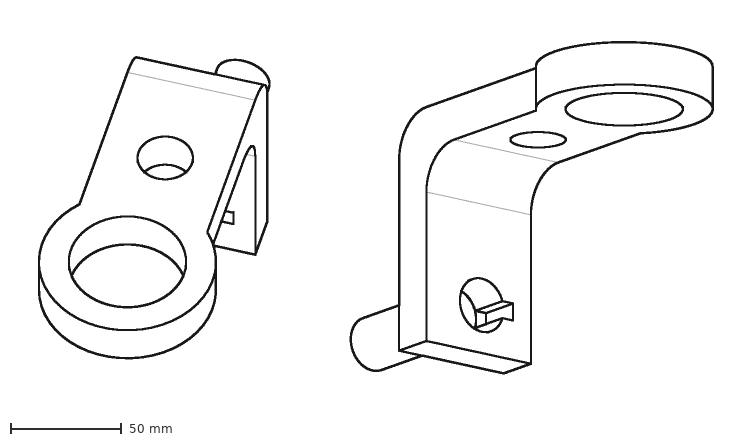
import cadquery as cq

thickness = 20.0
width = 60.0
height = 110.0
bend_radius = 20.0
ring_diameter = 80.0
ring_bore = 53.0
ring_distance = 126.5
arm_hole_diameter = 25.0
arm_hole_distance = 63.5

pin_diameter = 25.0
pin_length = 60.0
pin_x = 1.75
pin_z = 22.5
key_width = 8.0
key_reach = 18.0

back_y = ring_distance
upright_front_y = back_y - thickness
arm_bottom_z = height - thickness
arm_hole_y = back_y - arm_hole_distance


def make_arm_cylinder(y, diameter):
    """Vertical cylinder as tall as the arm is thick."""
    return (
        cq.Workplane("XY", origin=(0, y, arm_bottom_z))
        .circle(diameter / 2)
        .extrude(thickness)
    )


def make_strip():
    """L-shaped strip, rounded on both sides of the bend."""
    strip = (
        cq.Workplane("YZ")
        .moveTo(0, height)
        .lineTo(back_y, height)
        .lineTo(back_y, 0)
        .lineTo(upright_front_y, 0)
        .lineTo(upright_front_y, arm_bottom_z)
        .lineTo(0, arm_bottom_z)
        .close()
        .extrude(width / 2, both=True)
    )
    outer_bend = cq.selectors.NearestToPointSelector((0, back_y, height))
    inner_bend = cq.selectors.NearestToPointSelector((0, upright_front_y, arm_bottom_z))
    return strip.edges(outer_bend).fillet(bend_radius).edges(inner_bend).fillet(bend_radius)


def make_keyed_hole():
    """Cutter for the round hole and its keyway on the +X side."""
    start = cq.Workplane("XZ", origin=(pin_x, back_y, pin_z))
    bore = start.circle(pin_diameter / 2).extrude(thickness)
    keyway = start.center(key_reach / 2, 0).rect(key_reach, key_width).extrude(thickness)
    return bore.union(keyway)


def make_bracket():
    return (
        make_strip()
        .union(make_arm_cylinder(0, ring_diameter))
        .cut(make_arm_cylinder(0, ring_bore))
        .cut(make_arm_cylinder(arm_hole_y, arm_hole_diameter))
        .cut(make_keyed_hole())
    )


def make_pin():
    """Plain round pin reaching backwards from the back face of the upright."""
    return (
        cq.Workplane("XZ", origin=(pin_x, back_y, pin_z))
        .circle(pin_diameter / 2)
        .extrude(-pin_length)
    )


bracket = make_bracket()
pin = make_pin()

result = cq.Compound.makeCompound([bracket.val(), pin.val()])